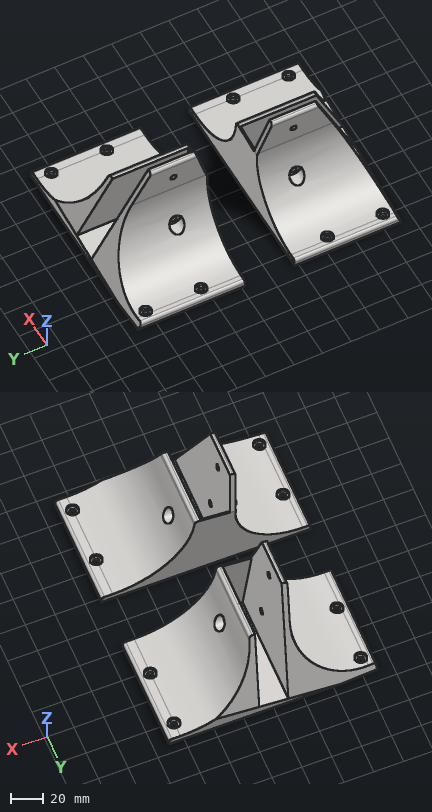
import cadquery as cq
import math

BASE_LENGTH = 140.0
OUTER_Y = 93.5
INNER_Y = 17.4
BASE_THICKNESS = 5.0
EDGE_RADIUS = 2.0

LEAN_ANGLE = 7.0
PIVOT_X = 23.4

WALL_THICKNESS = 4.0
TALL_WALL_FACE_U = 33.1
POCKET_WIDTH = 19.6
POCKET_START_U = TALL_WALL_FACE_U + WALL_THICKNESS
POCKET_END_U = POCKET_START_U + POCKET_WIDTH
LOW_WALL_FACE_U = POCKET_END_U + WALL_THICKNESS
LOW_WALL_HEIGHT = 50.0
TALL_WALL_HEIGHT = 79.5
END_WALL_THICKNESS = 1.0

TALL_FLANK_RADIUS = 45.0
LOW_FLANK_RADIUS = 55.0

OUTER_SLOPE_ANGLE = 23.7
INNER_CORNER_CUT = 9.0

WALL_HOLE_Y = 42.0
WALL_HOLE_DIAMETER = 4.1
WALL_BORE_DIAMETER = 10.0
TALL_WALL_SEAT = 9.0
LOW_WALL_SEAT = WALL_THICKNESS
LOWER_HOLE_HEIGHT = 24.3
UPPER_HOLE_HEIGHT = 65.0

BASE_HOLE_INSET = 7.5
BASE_HOLE_YS = (44.3, 83.2)
BASE_HOLE_DIAMETER = 4.1
BASE_BORE_DIAMETER = 7.9
BASE_BORE_DEPTH = 2.0

CLEARANCE = 1.9
LEAN_SIN = math.sin(math.radians(LEAN_ANGLE))
LEAN_COS = math.cos(math.radians(LEAN_ANGLE))


def to_xz(u, v):
    """Convert a point of the leaning cradle frame to X and Z."""
    return (PIVOT_X + u * LEAN_COS - v * LEAN_SIN, u * LEAN_SIN + v * LEAN_COS)


def place_leaning(shape):
    """Move a shape modelled with X = u and Z = v into the leaning cradle frame."""
    return shape.rotate((0, 0, 0), (0, 1, 0), -LEAN_ANGLE).translate((PIVOT_X, 0, 0))


def flank_arc(face_u, radius, side):
    """Base tangent, middle and wall tangent points; side is -1 at low X, +1 at high X."""
    center_z = BASE_THICKNESS + radius
    center_u = face_u + side * radius
    center_x = PIVOT_X + (center_u - center_z * LEAN_SIN) / LEAN_COS
    start_angle = -90.0
    end_angle = start_angle - side * (90.0 - side * LEAN_ANGLE)
    return [
        (center_x + radius * math.cos(math.radians(a)), center_z + radius * math.sin(math.radians(a)))
        for a in (start_angle, (start_angle + end_angle) / 2, end_angle)
    ]


def make_profile_body():
    """Extrude the side profile: base, both flanks, both walls and the slot between them."""
    tall_base, tall_middle, tall_top = flank_arc(TALL_WALL_FACE_U, TALL_FLANK_RADIUS, -1)
    low_base, low_middle, low_top = flank_arc(LOW_WALL_FACE_U, LOW_FLANK_RADIUS, 1)
    body = (
        cq.Workplane("XZ", origin=(0, OUTER_Y, 0))
        .moveTo(0, 0)
        .lineTo(0, BASE_THICKNESS)
        .lineTo(*tall_base)
        .threePointArc(tall_middle, tall_top)
        .lineTo(*to_xz(TALL_WALL_FACE_U, TALL_WALL_HEIGHT))
        .lineTo(*to_xz(POCKET_START_U, TALL_WALL_HEIGHT))
        .lineTo(*to_xz(POCKET_START_U, LOW_WALL_HEIGHT))
        .lineTo(*to_xz(LOW_WALL_FACE_U, LOW_WALL_HEIGHT))
        .lineTo(*low_top)
        .threePointArc(low_middle, low_base)
        .lineTo(BASE_LENGTH, BASE_THICKNESS)
        .lineTo(BASE_LENGTH, 0)
        .close()
        .extrude(OUTER_Y - INNER_Y)
    )
    rounded_corners = [
        (0, BASE_THICKNESS),
        (BASE_LENGTH, BASE_THICKNESS),
        to_xz(TALL_WALL_FACE_U, TALL_WALL_HEIGHT),
        to_xz(LOW_WALL_FACE_U, LOW_WALL_HEIGHT),
    ]
    middle_y = (OUTER_Y + INNER_Y) / 2
    for x, z in rounded_corners:
        body = body.edges(cq.selectors.NearestToPointSelector((x, middle_y, z))).fillet(EDGE_RADIUS)
    return body


def make_pocket():
    """Slot between the walls, open at the top and the outer end, closed by the thin end wall."""
    pocket_start_y = INNER_Y + END_WALL_THICKNESS
    pocket = cq.Workplane("XY").box(
        POCKET_WIDTH, OUTER_Y + CLEARANCE - pocket_start_y, LOW_WALL_HEIGHT + CLEARANCE, centered=False
    )
    return place_leaning(pocket.translate((POCKET_START_U, pocket_start_y, 0)))


def make_end_cut(points):
    """Wedge with a profile in Y and v, running the whole length of the bracket along u."""
    wedge = cq.Workplane("YZ").polyline(points).close().extrude(2 * BASE_LENGTH, both=True)
    return place_leaning(wedge)


def make_outer_slope():
    top_v = TALL_WALL_HEIGHT + CLEARANCE
    setback = top_v * math.tan(math.radians(OUTER_SLOPE_ANGLE))
    return make_end_cut([(OUTER_Y, 0), (OUTER_Y - setback, top_v), (OUTER_Y, top_v)])


def make_inner_corner():
    return make_end_cut([
        (INNER_Y, LOW_WALL_HEIGHT),
        (INNER_Y + INNER_CORNER_CUT, TALL_WALL_HEIGHT),
        (INNER_Y, TALL_WALL_HEIGHT),
    ])


def make_leaning_cylinder(diameter, start_u, end_u, height):
    cylinder = cq.Workplane("YZ").circle(diameter / 2).extrude(end_u - start_u)
    return place_leaning(cylinder.translate((start_u, WALL_HOLE_Y, height)))


def make_wall_holes():
    """Screw holes through the walls; the lower ones are counterbored from the flanks."""
    tall_floor_u = POCKET_START_U - TALL_WALL_SEAT
    low_floor_u = POCKET_END_U + LOW_WALL_SEAT
    low_u = tall_floor_u - CLEARANCE
    high_u = low_floor_u + CLEARANCE
    upper_hole = make_leaning_cylinder(WALL_HOLE_DIAMETER, low_u, high_u, UPPER_HOLE_HEIGHT)
    lower_hole = make_leaning_cylinder(WALL_HOLE_DIAMETER, low_u, high_u, LOWER_HOLE_HEIGHT)
    tall_bore = make_leaning_cylinder(WALL_BORE_DIAMETER, 0, tall_floor_u, LOWER_HOLE_HEIGHT)
    low_bore = make_leaning_cylinder(WALL_BORE_DIAMETER, low_floor_u, BASE_LENGTH, LOWER_HOLE_HEIGHT)
    return [upper_hole, lower_hole, tall_bore, low_bore]


def make_base_holes():
    """Counterbored vertical screw holes near both ends of the base."""
    points = [(x, y) for x in (BASE_HOLE_INSET, BASE_LENGTH - BASE_HOLE_INSET) for y in BASE_HOLE_YS]
    holes = cq.Workplane("XY").pushPoints(points).circle(BASE_HOLE_DIAMETER / 2).extrude(BASE_THICKNESS)
    bores = (
        cq.Workplane("XY", origin=(0, 0, BASE_THICKNESS - BASE_BORE_DEPTH))
        .pushPoints(points)
        .circle(BASE_BORE_DIAMETER / 2)
        .extrude(BASE_BORE_DEPTH + CLEARANCE)
    )
    return [holes, bores]


def make_bracket():
    bracket = make_profile_body()
    cutters = [make_pocket(), make_outer_slope(), make_inner_corner()]
    for cutter in cutters + make_wall_holes() + make_base_holes():
        bracket = bracket.cut(cutter)
    return bracket.val()


bracket = make_bracket()
brackets = [bracket, bracket.mirror("XZ")]

result = cq.Compound.makeCompound(brackets)